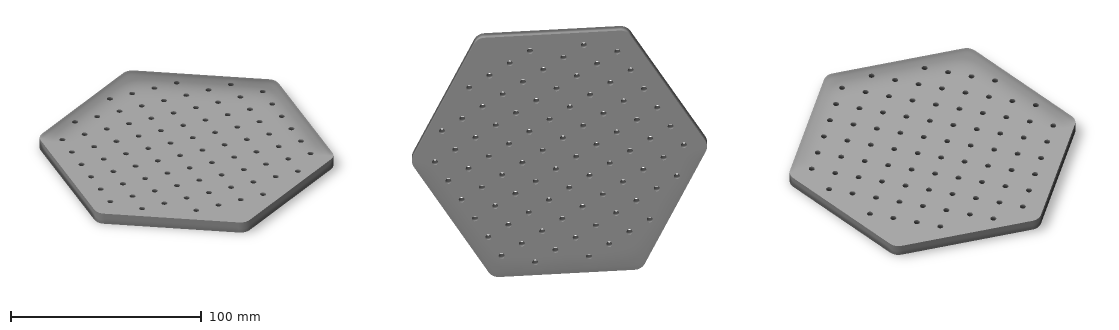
import cadquery as cq
import math

side_count = 6
length_across_corners = 155.0
thickness = 6.4
corner_radius = 6.4

hole_diameter = 3.1
hole_pitch = 12.7
holes_per_line = 10
min_edge_distance = 6.4

side_angle = 2 * math.pi / side_count
half_angle_cosine = math.cos(side_angle / 2)
corner_setback = corner_radius * (1 / half_angle_cosine - 1)
sharp_diameter = length_across_corners + 2 * corner_setback
apothem = sharp_diameter / 2 * half_angle_cosine


def distance_to_edge(x, y):
    """Distance from a point inside the sharp hexagon to its nearest side."""
    side_directions = [(side + 0.5) * side_angle for side in range(side_count)]
    return apothem - max(x * math.cos(a) + y * math.sin(a) for a in side_directions)


def hole_centres():
    """Points of the centred square grid that lie far enough inside the hexagon."""
    offsets = [(i - (holes_per_line - 1) / 2) * hole_pitch for i in range(holes_per_line)]
    grid = [(x, y) for x in offsets for y in offsets]
    return [(x, y) for x, y in grid if distance_to_edge(x, y) >= min_edge_distance]


plate = (
    cq.Workplane("XY")
    .polygon(side_count, sharp_diameter)
    .extrude(thickness)
    .edges("|Z")
    .fillet(corner_radius)
)

result = plate.faces(">Z").workplane(origin=(0, 0, 0)).pushPoints(hole_centres()).hole(hole_diameter)